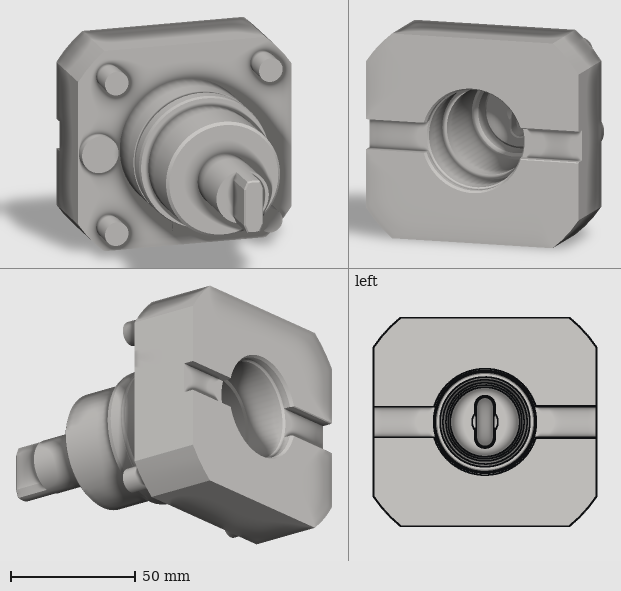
import cadquery as cq
import math

LENGTH = 123.9

PLATE_THICKNESS = 30.0
PLATE_WIDTH = 90.0
PLATE_HEIGHT = 84.0
PLATE_CORNER_RADIUS = 54.0

KEYWAY_WIDTH = 12.4
KEYWAY_DEPTH = 4.6
KEYWAY_CHAMFER = 0.4

BODY_RADIUS = 27.5
BODY_END = 58.0
BODY_LEAD_LENGTH = 1.9
BODY_LEAD_DROP = 0.4
NECK_RADIUS = 24.0
NECK_END = 83.0
NECK_CHAMFER = 1.1

GROOVE_START = 48.8
GROOVE_RADIUS = 26.0
SEAL_START = 49.7
SEAL_END = 51.2
SEAL_RADIUS = 27.0

SHAFT_RADIUS = 11.0
SHAFT_END_CHAMFER = 0.6
TANG_START = 108.7
TANG_THICKNESS = 7.9
TANG_FLAT_HEIGHT = 15.1
TANG_TIP_THICKNESS = 5.2
TANG_TIP_HEIGHT = 21.5

BORE_MOUTH_RADIUS = 20.7
BORE_ENTRY_RADIUS = 21.4
BORE_ENTRY_LENGTH = 1.5
BORE_STEP_LENGTH = 1.0
BORE_RADIUS = 20.1
BORE_DEPTH = 22.9
INNER_BORE_RADIUS = 18.1
INNER_BORE_DEPTH = 55.8
SEAT_OUTER_RADIUS = 17.0
SEAT_INNER_RADIUS = 15.7
CLEARANCE_DEPTH = 66.9

NOSE_FACE = 62.0
NOSE_RADIUS = 14.9
NOSE_CHAMFER = 0.9
NOSE_SLOT_WIDTH = 7.0
NOSE_SLOT_HEIGHT = 19.8
NOSE_SLOT_DEPTH = 7.4
NOSE_SLOT_CHAMFER = 0.6
CENTRE_RADIUS = 5.2
CENTRE_HALF_ANGLE = 60.0

PIN_RADIUS = 5.0
PIN_LENGTH = 12.0
PIN_Y = 32.5
PIN_Z = 31.6
LOCATOR_RADIUS = 7.7
LOCATOR_LENGTH = 4.5
LOCATOR_Y = -37.0
PAD_RADIUS = 5.5
PAD_LENGTH = 0.4
PAD_Z = -34.1


def cylinder(x, y, z, radius, length):
    """Cylinder along +X whose first face is centred at (x, y, z)."""
    return cq.Workplane("YZ", origin=(x, y, z)).circle(radius).extrude(length)


def revolve_about_x(outline):
    """Revolve a closed (X, radius) outline about the tool axis."""
    return outline.close().revolve(360, (0, 0, 0), (1, 0, 0))


def make_plate():
    block = cq.Workplane("YZ").rect(PLATE_WIDTH, PLATE_HEIGHT).extrude(PLATE_THICKNESS)
    return block.intersect(cylinder(0, 0, 0, PLATE_CORNER_RADIUS, PLATE_THICKNESS))


def make_body():
    seal_run = SEAL_END - SEAL_START
    seal_rise = SEAL_RADIUS - GROOVE_RADIUS
    seal_mid = (
        SEAL_END - seal_run * math.cos(math.pi / 4),
        GROOVE_RADIUS + seal_rise * math.sin(math.pi / 4),
    )
    outline = (
        cq.Workplane("XY")
        .moveTo(0, 0)
        .lineTo(0, BODY_RADIUS)
        .lineTo(GROOVE_START, BODY_RADIUS)
        .lineTo(GROOVE_START, GROOVE_RADIUS)
        .lineTo(SEAL_START, GROOVE_RADIUS)
        .threePointArc(seal_mid, (SEAL_END, SEAL_RADIUS))
        .lineTo(SEAL_END, BODY_RADIUS)
        .lineTo(BODY_END - BODY_LEAD_LENGTH, BODY_RADIUS)
        .lineTo(BODY_END, BODY_RADIUS - BODY_LEAD_DROP)
        .lineTo(BODY_END, NECK_RADIUS)
        .lineTo(NECK_END - NECK_CHAMFER, NECK_RADIUS)
        .lineTo(NECK_END, NECK_RADIUS - NECK_CHAMFER)
        .lineTo(NECK_END, 0)
    )
    return revolve_about_x(outline)


def make_shaft():
    """Round shaft whose end is reduced to a tang with bevelled edges."""
    rod = cylinder(NECK_END, 0, 0, SHAFT_RADIUS, LENGTH - NECK_END)
    flat_y = TANG_THICKNESS / 2
    flat_z = TANG_FLAT_HEIGHT / 2
    slope = (TANG_THICKNESS - TANG_TIP_THICKNESS) / (TANG_TIP_HEIGHT - TANG_FLAT_HEIGHT)
    top_z = SHAFT_RADIUS
    top_y = flat_y - slope * (top_z - flat_z)
    tang_outline = [
        (flat_y, -flat_z),
        (flat_y, flat_z),
        (top_y, top_z),
        (-top_y, top_z),
        (-flat_y, flat_z),
        (-flat_y, -flat_z),
        (-top_y, -top_z),
        (top_y, -top_z),
    ]
    tang_plane = cq.Workplane("YZ", origin=(TANG_START, 0, 0))
    tang = tang_plane.polyline(tang_outline).close().extrude(LENGTH - TANG_START)
    round_part = cylinder(NECK_END, 0, 0, SHAFT_RADIUS, TANG_START - NECK_END)
    shaft = rod.intersect(round_part.union(tang))
    return shaft.faces(">X").chamfer(SHAFT_END_CHAMFER)


def make_bore():
    """Stepped bore, leaving the chamfered spindle nose standing at its bottom."""
    seat_length = SEAT_OUTER_RADIUS - SEAT_INNER_RADIUS
    outline = (
        cq.Workplane("XY")
        .moveTo(0, 0)
        .lineTo(0, BORE_ENTRY_RADIUS)
        .lineTo(BORE_ENTRY_LENGTH, BORE_MOUTH_RADIUS)
        .lineTo(KEYWAY_DEPTH, BORE_MOUTH_RADIUS)
        .lineTo(KEYWAY_DEPTH + BORE_STEP_LENGTH, BORE_RADIUS)
        .lineTo(BORE_DEPTH, BORE_RADIUS)
        .lineTo(BORE_DEPTH, INNER_BORE_RADIUS)
        .lineTo(INNER_BORE_DEPTH, INNER_BORE_RADIUS)
        .lineTo(INNER_BORE_DEPTH, SEAT_OUTER_RADIUS)
        .lineTo(INNER_BORE_DEPTH + seat_length, SEAT_INNER_RADIUS)
        .lineTo(CLEARANCE_DEPTH, SEAT_INNER_RADIUS)
        .lineTo(CLEARANCE_DEPTH, NOSE_RADIUS)
        .lineTo(NOSE_FACE + NOSE_CHAMFER, NOSE_RADIUS)
        .lineTo(NOSE_FACE, NOSE_RADIUS - NOSE_CHAMFER)
        .lineTo(NOSE_FACE, 0)
    )
    return revolve_about_x(outline)


def make_nose_socket():
    """Round-ended slot with a chamfered mouth, plus a conical centre."""
    face = cq.Workplane("YZ", origin=(NOSE_FACE, 0, 0))
    slot = face.slot2D(NOSE_SLOT_HEIGHT, NOSE_SLOT_WIDTH, 90).extrude(NOSE_SLOT_DEPTH)
    mouth_height = NOSE_SLOT_HEIGHT + 2 * NOSE_SLOT_CHAMFER
    mouth_width = NOSE_SLOT_WIDTH + 2 * NOSE_SLOT_CHAMFER
    mouth = face.slot2D(mouth_height, mouth_width, 90).extrude(NOSE_SLOT_CHAMFER, taper=45)
    centre_depth = CENTRE_RADIUS / math.tan(math.radians(CENTRE_HALF_ANGLE))
    centre = revolve_about_x(
        cq.Workplane("XY")
        .moveTo(NOSE_FACE, 0)
        .lineTo(NOSE_FACE, CENTRE_RADIUS)
        .lineTo(NOSE_FACE + centre_depth, 0)
    )
    return slot.union(mouth).union(centre)


def make_keyway():
    """Slot across the full plate width; its -Y half has chamfered edges."""
    half_width = KEYWAY_WIDTH / 2
    slot = cq.Workplane("XY").box(KEYWAY_DEPTH, PLATE_WIDTH, KEYWAY_WIDTH, centered=(False, True, True))
    chamfer_outline = [
        (0, half_width + KEYWAY_CHAMFER),
        (KEYWAY_CHAMFER, half_width),
        (KEYWAY_CHAMFER, -half_width),
        (0, -half_width - KEYWAY_CHAMFER),
    ]
    chamfer = cq.Workplane("XZ").polyline(chamfer_outline).close().extrude(PLATE_WIDTH / 2)
    return slot.union(chamfer)


result = make_plate().union(make_body()).union(make_shaft())

for side_y in (-1, 1):
    for side_z in (-1, 1):
        pin = cylinder(PLATE_THICKNESS, side_y * PIN_Y, side_z * PIN_Z, PIN_RADIUS, PIN_LENGTH)
        result = result.union(pin)
result = result.union(cylinder(PLATE_THICKNESS, LOCATOR_Y, 0, LOCATOR_RADIUS, LOCATOR_LENGTH))
result = result.union(cylinder(PLATE_THICKNESS, 0, PAD_Z, PAD_RADIUS, PAD_LENGTH))

result = result.cut(make_bore()).cut(make_nose_socket()).cut(make_keyway())